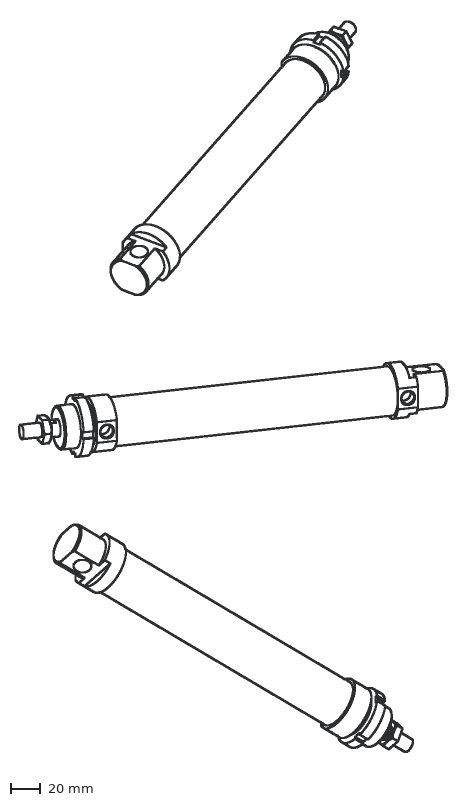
import cadquery as cq
import math

overall_length = 299.0

rod_tip = overall_length
thread_length = 20.0
shoulder = rod_tip - thread_length
nose_face = rod_tip - 26.0
front_collar_face = rod_tip - 48.0
collar_length = 14.3
rear_collar_face = 22.1

tube_diameter = 33.6
collar_diameter = 38.0
neck_diameter = 30.0
neck_chamfer = 1.0

port_flat_offset = 17.5
port_diameter = 8.8
port_mouth_diameter = 10.0
port_depth = 8.0

eye_thickness = 26.0
eye_flat_length = 27.0
eye_hole_diameter = 12.0
eye_hole_position = 14.0

rod_diameter = 12.0
thread_diameter = 10.0
undercut_diameter = 8.8
undercut_length = 2.0
wrench_width = 10.0
wrench_length = 3.5

hex_width = 17.0
hex_thickness = 5.5
hex_front_face = rod_tip - 13.2
hex_chamfer_angle = 30.0

ring_diameter = 42.0
ring_thickness = 7.2
ring_front_face = rod_tip - 37.4
slot_width = 5.0
slot_depth = 2.0
slot_count = 4


def cylinder(diameter, start, end):
    """Cylinder about the Y axis between two stations."""
    circle = cq.Workplane("XZ", origin=(0, start, 0)).circle(diameter / 2)
    return circle.extrude(start - end)


def box(x_range, y_range, z_range):
    """Axis-aligned block given by its limits along each axis."""
    sizes = [high - low for low, high in (x_range, y_range, z_range)]
    corner = (x_range[0], y_range[0], z_range[0])
    return cq.Workplane("XY", origin=corner).box(*sizes, centered=False)


def port_collar(start):
    """Round collar with a flat on -X for a port."""
    radius = collar_diameter / 2
    end = start + collar_length
    collar = cylinder(collar_diameter, start, end)
    return collar.cut(box((-radius, -port_flat_offset), (start, end), (-radius, radius)))


def port(start):
    """Port bore with a conical mouth, entering from the flat of a collar."""
    mouth_depth = (port_mouth_diameter - port_diameter) / 2
    middle = start + collar_length / 2
    profile = [
        (0, 0),
        (0, port_mouth_diameter / 2),
        (mouth_depth, port_diameter / 2),
        (port_depth, port_diameter / 2),
        (port_depth, 0),
    ]
    outline = cq.Workplane("XY", origin=(-port_flat_offset, middle, 0)).polyline(profile).close()
    return outline.revolve(360, (0, 0, 0), (1, 0, 0))


def make_housing():
    """Tube, two port collars, front neck and flattened rear eye in one solid."""
    collar_starts = (rear_collar_face, front_collar_face - collar_length)
    body = cylinder(neck_diameter, 0, nose_face).faces("<Y or >Y").chamfer(neck_chamfer)
    body = body.union(cylinder(tube_diameter, *collar_starts))
    for start in collar_starts:
        body = body.union(port_collar(start))
    for start in collar_starts:
        body = body.cut(port(start))

    radius = collar_diameter / 2
    for low, high in ((-radius, -eye_thickness / 2), (eye_thickness / 2, radius)):
        body = body.cut(box((-radius, radius), (0, eye_flat_length), (low, high)))
    eye_hole = cq.Workplane("XY").center(0, eye_hole_position).circle(eye_hole_diameter / 2)
    return body.cut(eye_hole.extrude(eye_thickness / 2, both=True))


def make_rod():
    """Rod end standing on the nose face: wrench flats, undercut and thread."""
    flats_end = shoulder - wrench_length
    radius = rod_diameter / 2
    rod = cylinder(rod_diameter, nose_face, shoulder)
    for low, high in ((-radius, -wrench_width / 2), (wrench_width / 2, radius)):
        rod = rod.cut(box((-radius, radius), (flats_end, shoulder), (low, high)))
    thread_start = shoulder + undercut_length
    thread = cylinder(thread_diameter, thread_start, rod_tip)
    return rod.union(cylinder(undercut_diameter, shoulder, thread_start)).union(thread)


def make_hex_nut():
    """Hexagon nut with corners on the X axis, its corners chamfered on the -Y face."""
    flat_radius = hex_width / 2
    corner_radius = hex_width / math.sqrt(3)
    back = hex_front_face - hex_thickness
    hexagon = cq.Workplane("XZ", origin=(0, hex_front_face, 0)).polygon(6, 2 * corner_radius)
    chamfer_width = corner_radius - flat_radius
    chamfer_height = chamfer_width * math.tan(math.radians(hex_chamfer_angle))
    envelope = cylinder(2 * corner_radius, back, hex_front_face)
    envelope = envelope.faces("<Y").chamfer(chamfer_height, chamfer_width)
    nut = hexagon.extrude(hex_thickness).intersect(envelope)
    return nut.cut(cylinder(thread_diameter, back, hex_front_face))


def make_ring_nut():
    """Ring nut with equally spaced spanner slots in its rim."""
    radius = ring_diameter / 2
    back = ring_front_face - ring_thickness
    ring = cylinder(ring_diameter, back, ring_front_face)
    ring = ring.cut(cylinder(neck_diameter, back, ring_front_face))
    slot = box((radius - slot_depth, radius), (back, ring_front_face), (-slot_width / 2, slot_width / 2))
    for index in range(slot_count):
        ring = ring.cut(slot.rotate((0, 0, 0), (0, 1, 0), index * 360 / slot_count))
    return ring


housing = make_housing()
rod = make_rod()
hex_nut = make_hex_nut()
ring_nut = make_ring_nut()

result = cq.Compound.makeCompound([housing.val(), rod.val(), hex_nut.val(), ring_nut.val()])